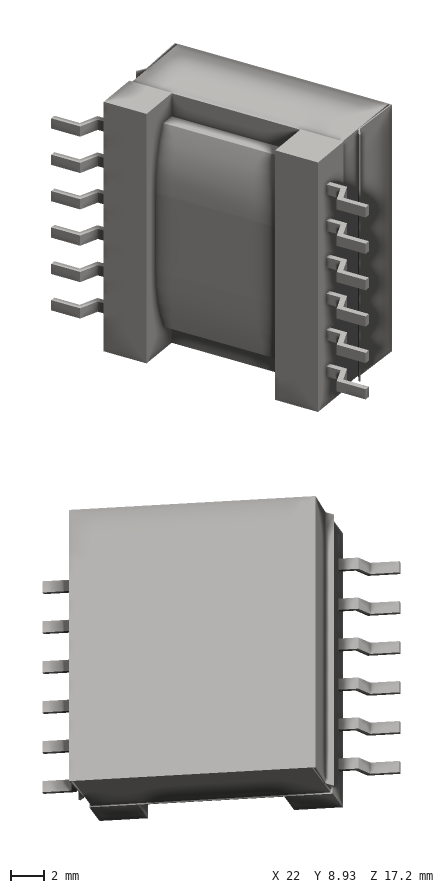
import cadquery as cq

LEAD_SPAN = 22.0
OVERALL_DEPTH = 8.93
BOBBIN_WIDTH = 15.0
BOBBIN_LENGTH = 17.2
RAIL_HEIGHT = 3.05
WINDOW_WIDTH = 9.0
RAIL_WIDTH = (BOBBIN_WIDTH - WINDOW_WIDTH) / 2
FLANGE_THICKNESS = 0.07

CORE_WIDTH = 14.75
CORE_LENGTH = 17.03

WINDING_LENGTH = 14.04
WINDING_FLAT = 5.37
WINDING_SHOULDER = 1.05
WINDING_HEIGHT = 2.05

CLIP_SHEET = 0.077
CLIP_WIDTH = 15.18
CLIP_LEG_DEPTH = 3.67
CLIP_LEG_CLEARANCE = 0.02
CLIP_LIP_DEPTH = 0.6
CLIP_LIP_FLARE = 0.4

LEADS_PER_SIDE = 6
LEAD_PITCH = 2.5
LEAD_WIDTH = 0.7
LEAD_THICKNESS = 0.37
LEAD_DROP = 1.28
LEAD_STANDOFF = 0.29
FOOT_LENGTH = 2.02
LEAD_SLOPE_RUN = 0.48
LEAD_BEND_OFFSET = 0.25
LEAD_EMBED = 0.45

CORE_HEIGHT = OVERALL_DEPTH - LEAD_STANDOFF - RAIL_HEIGHT - CLIP_SHEET


def block(width, length, y_front, y_back):
    """Box centred on X and Z that fills the given Y range."""
    return cq.Workplane("XY").box(width, y_back - y_front, length).translate((0, (y_front + y_back) / 2, 0))


def mirrored_pair(body):
    """The body on the +X side together with its mirror image on the -X side."""
    return body.union(body.mirror("YZ"))


def extruded_plan(points, length):
    """Closed outline in X and Y, extruded along Z and centred on Z = 0."""
    return cq.Workplane("XY").polyline(points).close().extrude(length / 2, both=True)


def make_bobbin():
    """Two side rails joined by a thin flange."""
    rail = block(RAIL_WIDTH, BOBBIN_LENGTH, -RAIL_HEIGHT, 0)
    rails = mirrored_pair(rail.translate(((WINDOW_WIDTH + RAIL_WIDTH) / 2, 0, 0)))
    return rails.union(block(BOBBIN_WIDTH, BOBBIN_LENGTH, -FLANGE_THICKNESS, 0))


def make_winding():
    """Coil with a flat front that curves tangentially back to straight ends."""
    half_length = WINDING_LENGTH / 2
    half_flat = WINDING_FLAT / 2
    outline = (
        cq.Workplane("YZ")
        .moveTo(-WINDING_HEIGHT, 0)
        .lineTo(-WINDING_HEIGHT, half_flat)
        .tangentArcPoint((-WINDING_SHOULDER, half_length), relative=False)
        .lineTo(0, half_length)
        .lineTo(0, 0)
        .close()
    )
    upper_half = outline.extrude(WINDOW_WIDTH / 2, both=True)
    return upper_half.union(upper_half.mirror("XY"))


def make_clip():
    """Thin sheet over the core's back with sprung legs that end in flared lips."""
    back = CORE_HEIGHT + CLIP_SHEET
    plate = block(CLIP_WIDTH - CLIP_SHEET, CORE_LENGTH, CORE_HEIGHT, back)
    leg_end_y = back - CLIP_LEG_DEPTH
    lip_end_y = leg_end_y - CLIP_LIP_DEPTH
    inner_top = CLIP_WIDTH / 2 - CLIP_SHEET
    inner_end = CORE_WIDTH / 2 + CLIP_LEG_CLEARANCE
    inner_tip = inner_end + CLIP_LIP_FLARE
    leg = extruded_plan(
        [
            (inner_top, back),
            (inner_end, leg_end_y),
            (inner_tip, lip_end_y),
            (inner_tip + CLIP_SHEET, lip_end_y + CLIP_SHEET),
            (inner_end + CLIP_SHEET, leg_end_y + CLIP_SHEET),
            (inner_top + CLIP_SHEET, back),
        ],
        CORE_LENGTH,
    )
    return plate.union(mirrored_pair(leg))


def make_lead():
    """One +X lead: out of the rail, down the slope and along the foot."""
    foot_bottom = -RAIL_HEIGHT - LEAD_STANDOFF
    foot_top = foot_bottom + LEAD_THICKNESS
    shelf_bottom = foot_bottom + LEAD_DROP
    shelf_top = shelf_bottom + LEAD_THICKNESS
    root = BOBBIN_WIDTH / 2 - LEAD_EMBED
    tip = LEAD_SPAN / 2
    lower_bend = tip - FOOT_LENGTH
    upper_bend = lower_bend - LEAD_SLOPE_RUN
    return extruded_plan(
        [
            (root, shelf_bottom),
            (upper_bend, shelf_bottom),
            (lower_bend, foot_bottom),
            (tip, foot_bottom),
            (tip, foot_top),
            (lower_bend + LEAD_BEND_OFFSET, foot_top),
            (upper_bend + LEAD_BEND_OFFSET, shelf_top),
            (root, shelf_top),
        ],
        LEAD_WIDTH,
    )


core = block(CORE_WIDTH, CORE_LENGTH, 0, CORE_HEIGHT)
result = make_bobbin().union(core).union(make_winding()).union(make_clip())

lead_pair = mirrored_pair(make_lead())
for index in range(LEADS_PER_SIDE):
    lead_z = (index - (LEADS_PER_SIDE - 1) / 2) * LEAD_PITCH
    result = result.union(lead_pair.translate((0, 0, lead_z)))